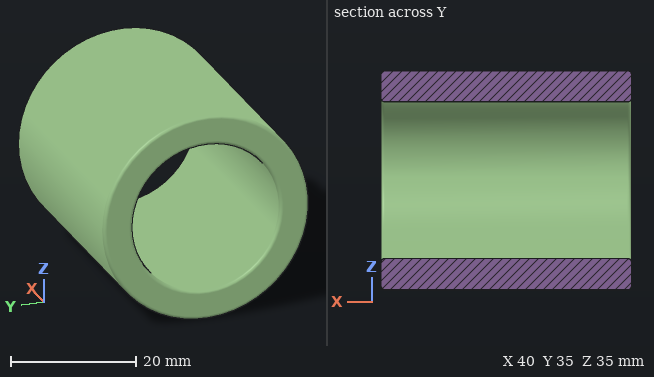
import cadquery as cq

LENGTH = 40.0
OUTER_DIAMETER = 35.0
BORE_DIAMETER = 25.0
EDGE_RADIUS = 0.6


def make_sleeve():
    """Straight tube running along X."""
    return (
        cq.Workplane("YZ", origin=(-LENGTH / 2, 0, 0))
        .circle(OUTER_DIAMETER / 2)
        .circle(BORE_DIAMETER / 2)
        .extrude(LENGTH)
    )


def round_end_edges(sleeve):
    """Round the outer and bore edges of both end faces."""
    return sleeve.faces("<X or >X").edges().fillet(EDGE_RADIUS)


result = round_end_edges(make_sleeve())